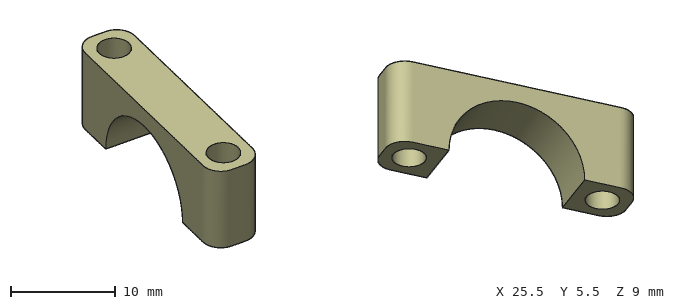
import cadquery as cq

length = 25.5
width = 5.5
height = 9.0
corner_radius = 2.0

crown_thickness = 2.0
saddle_radius = height - crown_thickness

hole_diameter = 3.3
hole_spacing = 20.0


def rounded_block():
    """Block with its base on Z = 0 and rounded vertical edges."""
    block = cq.Workplane("XY").box(length, width, height, centered=(True, True, False))
    return block.edges("|Z").fillet(corner_radius)


def saddle_cutter():
    """Cylinder along Y that leaves a half-round arch under the crown."""
    return cq.Workplane("XZ", origin=(0, width / 2, 0)).circle(saddle_radius).extrude(width)


def hole_cutters():
    """One vertical through hole in each foot."""
    centers = [(-hole_spacing / 2, 0), (hole_spacing / 2, 0)]
    return cq.Workplane("XY").pushPoints(centers).circle(hole_diameter / 2).extrude(height)


result = rounded_block().cut(saddle_cutter()).cut(hole_cutters())